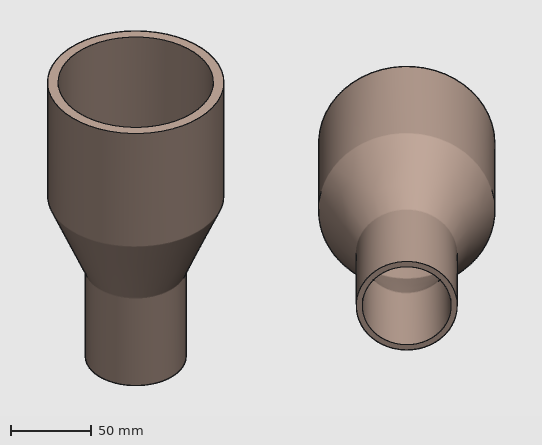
import cadquery as cq

large_diameter = 110.0
large_wall = 6.6
small_diameter = 63.0
small_wall = 3.8
total_height = 210.0
small_length = 67.0
large_length = 87.0

outer_blend_radius = 2.0
bore_blend_radius = 5.0

large_radius = large_diameter / 2
small_radius = small_diameter / 2
cone_bottom = small_length
cone_top = total_height - large_length


def stepped_body(lower_radius, upper_radius, blend_radius):
    """Solid of revolution: lower cylinder, cone, upper cylinder, with blended bends."""
    body = (
        cq.Workplane("XZ")
        .lineTo(lower_radius, 0)
        .lineTo(lower_radius, cone_bottom)
        .lineTo(upper_radius, cone_top)
        .lineTo(upper_radius, total_height)
        .lineTo(0, total_height)
        .close()
        .revolve(360, (0, 0, 0), (0, 1, 0))
    )
    bends = body.edges("%CIRCLE").edges("(not >Z) and (not <Z)")
    return bends.fillet(blend_radius)


outer_body = stepped_body(small_radius, large_radius, outer_blend_radius)
bore = stepped_body(small_radius - small_wall, large_radius - large_wall, bore_blend_radius)

result = outer_body.cut(bore)